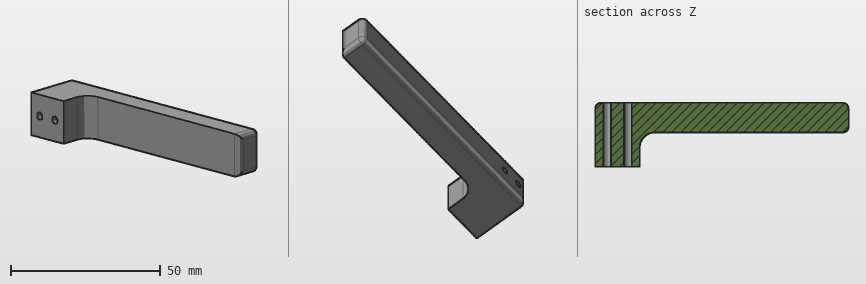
import cadquery as cq

length = 85.0
depth = 21.5
height = 15.0

arm_thickness = 10.0
block_width = 15.0
inner_corner_radius = 5.0
edge_radius = 2.0

hole_diameter = 2.5
hole_spacing = 7.0

arm_front = depth - arm_thickness


def lever_body():
    """L-shaped lever with a rounded inner corner."""
    return (
        cq.Workplane("XY")
        .moveTo(0, 0)
        .lineTo(block_width, 0)
        .lineTo(block_width, arm_front - inner_corner_radius)
        .radiusArc((block_width + inner_corner_radius, arm_front), inner_corner_radius)
        .lineTo(length, arm_front)
        .lineTo(length, depth)
        .lineTo(0, depth)
        .close()
        .extrude(height)
    )


def mounting_holes():
    """Two holes running through the block along Y."""
    return (
        cq.Workplane("XZ")
        .pushPoints([(block_width / 2 + side * hole_spacing / 2, height / 2) for side in (-1, 1)])
        .circle(hole_diameter / 2)
        .extrude(-depth)
    )


rounded_body = lever_body().faces(">Y or >X").edges().fillet(edge_radius)
result = rounded_body.cut(mounting_holes())